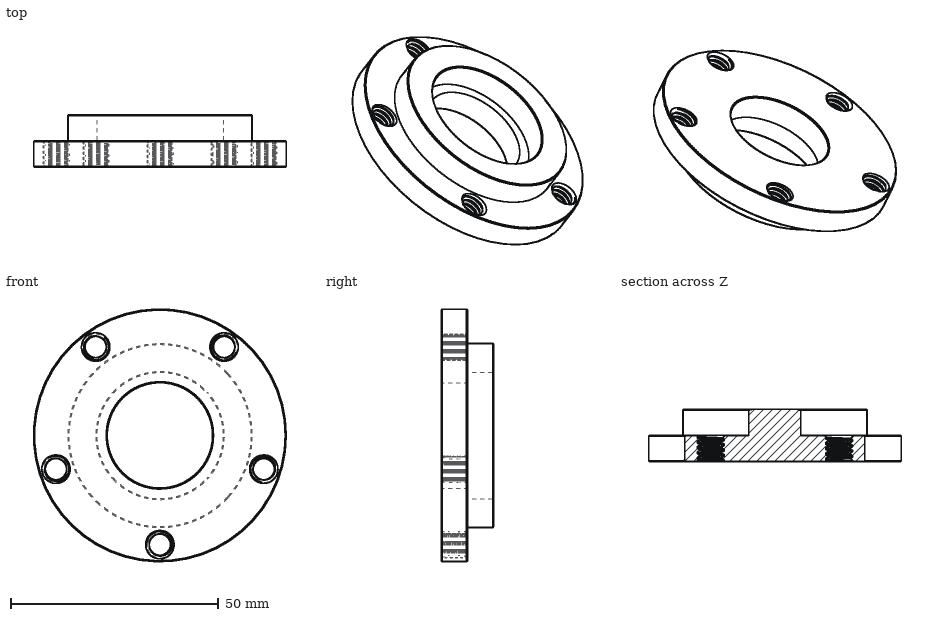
import cadquery as cq
import math

flange_diameter = 60.96
boss_diameter = 44.45
flange_thickness = 6.35
total_length = 12.7
edge_chamfer = 0.254

bore_diameter = 25.4
counterbore_diameter = 30.48
counterbore_depth = total_length - flange_thickness

hole_count = 5
bolt_circle_diameter = 52.7
first_hole_angle = -90.0
thread_major_diameter = 6.35
thread_minor_diameter = 5.12
thread_pitch = 1.27
thread_root_flat = thread_pitch / 4
thread_flank_angle = 30.0
thread_start_angle = 54.0
groove_overlap = 0.1

front_y = -total_length / 2
shoulder_y = front_y + flange_thickness
back_y = total_length / 2
counterbore_floor_y = back_y - counterbore_depth


def make_body():
    """Flange, boss and stepped bore as one profile revolved about Y."""
    flange_radius = flange_diameter / 2
    boss_radius = boss_diameter / 2
    bore_radius = bore_diameter / 2
    counterbore_radius = counterbore_diameter / 2
    c = edge_chamfer
    profile = [
        (bore_radius + c, front_y),
        (flange_radius - c, front_y),
        (flange_radius, front_y + c),
        (flange_radius, shoulder_y - c),
        (flange_radius - c, shoulder_y),
        (boss_radius, shoulder_y),
        (boss_radius, back_y - c),
        (boss_radius - c, back_y),
        (counterbore_radius + c, back_y),
        (counterbore_radius, back_y - c),
        (counterbore_radius, counterbore_floor_y),
        (bore_radius, counterbore_floor_y),
        (bore_radius, front_y + c),
    ]
    section = cq.Workplane("XY").polyline(profile).close()
    return section.revolve(360, (0, 0, 0), (0, 1, 0))


def make_thread_groove():
    """Helical groove along +Z, running one pitch past both flange faces."""
    major_radius = thread_major_diameter / 2
    minor_radius = thread_minor_diameter / 2
    flank_slope = math.tan(math.radians(thread_flank_angle))
    root_half = thread_root_flat / 2
    mouth_half = root_half + flank_slope * (major_radius - minor_radius + groove_overlap)
    inner_radius = minor_radius - groove_overlap
    helix_height = flange_thickness + 2 * thread_pitch
    path = cq.Wire.makeHelix(thread_pitch, helix_height, minor_radius)
    outline = [
        (inner_radius, -mouth_half),
        (major_radius, -root_half),
        (major_radius, root_half),
        (inner_radius, mouth_half),
    ]
    section = cq.Workplane("XZ").polyline(outline).close()
    groove = section.sweep(cq.Workplane(path), isFrenet=True)
    return groove.translate((0, 0, -thread_pitch))


def make_threaded_hole():
    """Cutter along +Z: tapped hole with a chamfered mouth at both ends."""
    mouth_radius = thread_major_diameter / 2 + edge_chamfer
    core_radius = thread_minor_diameter / 2
    sink_depth = mouth_radius - core_radius
    outline = [
        (0, 0),
        (mouth_radius, 0),
        (core_radius, sink_depth),
        (core_radius, flange_thickness - sink_depth),
        (mouth_radius, flange_thickness),
        (0, flange_thickness),
    ]
    core = cq.Workplane("XZ").polyline(outline).close().revolve(360, (0, 0, 0), (0, 1, 0))

    slab = cq.Workplane("XY").circle(mouth_radius).extrude(flange_thickness)
    cutter = core.union(make_thread_groove().intersect(slab))
    return cutter.rotate((0, 0, 0), (0, 0, 1), thread_start_angle)


def cut_threaded_holes(body):
    """Cut the ring of tapped holes, the first one at the bottom of the flange."""
    cutter = make_threaded_hole()
    cutter = cutter.rotate((0, 0, 0), (1, 0, 0), -90)
    cutter = cutter.translate((bolt_circle_diameter / 2, front_y, 0))
    for index in range(hole_count):
        angle = first_hole_angle + index * 360 / hole_count
        body = body.cut(cutter.rotate((0, 0, 0), (0, 1, 0), -angle))
    return body


result = cut_threaded_holes(make_body())